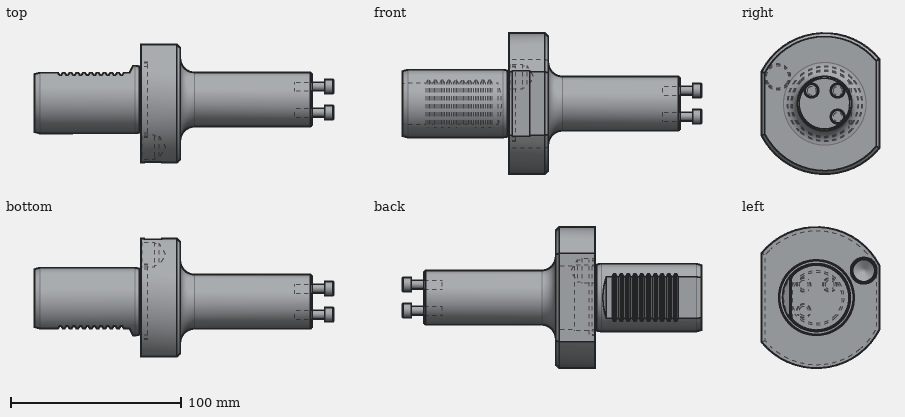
import cadquery as cq


shank_diameter = 40.0
shank_radius = shank_diameter / 2
shank_length = 62.6
shank_end_chamfer_length = 3.3
shank_end_chamfer_depth = 0.9
neck_start = 3.7
neck_length = 1.0
neck_drop = 0.5
neck_radius = shank_radius - neck_drop
round_length = neck_start - neck_length

flat_offset = 15.8
flat_end = 6.7
ramp_run = 2.1
tooth_gap_count = 10
tooth_gap_span = 35.9
tooth_gap_pitch = tooth_gap_span / (tooth_gap_count - 1)
tooth_gap_depth = 1.5
tooth_gap_top_width = 2.8
tooth_gap_floor_width = 0.9
last_tooth_gap_offset = 11.5

flange_radius = 41.5
flange_thickness = 23.2
flange_chamfer = 2.1
flange_front_flat = 37.1
flange_back_flat = 32.4

label_start = 2.1
label_width = 10.0
label_depth = 0.4

coolant_y = -27.8
coolant_z = 15.8
coolant_mouth_radius = 7.2
coolant_mouth_depth = 8.0
coolant_mouth_chamfer = 0.5
coolant_drill_radius = 6.5
coolant_drill_depth = 10.5
coolant_tip_depth = 3.9

seal_outer_radius = 21.6
seal_recess = 0.4
groove_outer_radius = 22.2
groove_depth = 3.7

bar_radius = 16.0
bar_end = 100.6
bar_end_chamfer = 1.0
bar_root_fillet = 8.3

screw_spacing = 15.3
screw_offset = screw_spacing / 2
screw_shaft_radius = 2.6
screw_depth = 10.5
screw_head_radius = 4.2
screw_head_start = 108.0
screw_head_end = 113.3
screw_head_chamfer = 0.5
screw_positions = [
    (screw_offset, screw_offset),
    (-screw_offset, screw_offset),
    (screw_offset, -screw_offset),
]


def cylinder_along_x(radius, start, end, y=0, z=0):
    return cq.Workplane("YZ", origin=(start, y, z)).circle(radius).extrude(end - start)


def flat_cutter():
    """Prism that leaves the flat on the +Y side of the shank, with its end ramp."""
    ramp_height = shank_radius - flat_offset
    overshoot = 2
    top = flat_offset + overshoot * ramp_height
    return (
        cq.Workplane("XY")
        .moveTo(-shank_length, flat_offset)
        .lineTo(-flat_end, flat_offset)
        .lineTo(-flat_end + overshoot * ramp_run, top)
        .lineTo(-shank_length, top)
        .close()
        .extrude(shank_radius, both=True)
    )


def tooth_gap_cutter(x):
    """Trapezoidal gap across the flat, centred at x."""
    return (
        cq.Workplane("XY")
        .moveTo(x - tooth_gap_top_width / 2, flat_offset)
        .lineTo(x - tooth_gap_floor_width / 2, flat_offset - tooth_gap_depth)
        .lineTo(x + tooth_gap_floor_width / 2, flat_offset - tooth_gap_depth)
        .lineTo(x + tooth_gap_top_width / 2, flat_offset)
        .close()
        .extrude(shank_radius, both=True)
    )


def make_shank():
    rounding_radius = (round_length**2 + neck_drop**2) / (2 * neck_drop)
    middle_x = -neck_start + round_length / 2
    middle_drop = rounding_radius - (rounding_radius**2 - (round_length / 2) ** 2) ** 0.5
    shank = (
        cq.Workplane("XY")
        .moveTo(-shank_length, 0)
        .lineTo(-shank_length, shank_radius)
        .lineTo(-neck_start, shank_radius)
        .threePointArc((middle_x, shank_radius - middle_drop), (-neck_length, neck_radius))
        .lineTo(groove_depth, neck_radius)
        .lineTo(groove_depth, 0)
        .close()
        .revolve(360, (0, 0, 0), (1, 0, 0))
        .cut(flat_cutter())
    )
    end_face = shank.faces("<X").val()
    shank = shank.newObject(
        [shank.val().chamfer(shank_end_chamfer_depth, shank_end_chamfer_length, end_face.Edges())]
    )
    for i in range(tooth_gap_count):
        shank = shank.cut(tooth_gap_cutter(-last_tooth_gap_offset - i * tooth_gap_pitch))
    return shank


def make_flange():
    width = flange_front_flat + flange_back_flat
    between_flats = cq.Workplane("XY").box(
        flange_thickness, width, 2 * flange_radius, centered=(False, False, True)
    ).translate((0, -flange_front_flat, 0))
    flange = cylinder_along_x(flange_radius, 0, flange_thickness).intersect(between_flats)
    flange = flange.faces(">X").chamfer(flange_chamfer)
    label_recess = cq.Workplane("XY").box(
        label_width, label_depth, 2 * flange_radius, centered=(False, False, True)
    ).translate((label_start, -flange_front_flat, 0))
    seal_groove = cylinder_along_x(groove_outer_radius, 0, groove_depth)
    return flange.cut(label_recess).cut(seal_groove).cut(coolant_hole_cutter())


def coolant_hole_cutter():
    """Solid of the blind stepped hole with a chamfered mouth and a conical tip."""
    return (
        cq.Workplane("XY")
        .lineTo(0, coolant_mouth_radius + coolant_mouth_chamfer)
        .lineTo(coolant_mouth_chamfer, coolant_mouth_radius)
        .lineTo(coolant_mouth_depth, coolant_mouth_radius)
        .lineTo(coolant_mouth_depth, coolant_drill_radius)
        .lineTo(coolant_drill_depth, coolant_drill_radius)
        .lineTo(coolant_drill_depth + coolant_tip_depth, 0)
        .close()
        .revolve(360, (0, 0, 0), (1, 0, 0))
        .translate((0, coolant_y, coolant_z))
    )


def make_bar():
    """Round bar with a concave fillet at the flange and a chamfered end."""
    root_radius = bar_radius + bar_root_fillet
    fillet_end = flange_thickness + bar_root_fillet
    return (
        cq.Workplane("XY")
        .moveTo(flange_thickness, 0)
        .lineTo(flange_thickness, root_radius)
        .radiusArc((fillet_end, bar_radius), -bar_root_fillet)
        .lineTo(bar_end - bar_end_chamfer, bar_radius)
        .lineTo(bar_end, bar_radius - bar_end_chamfer)
        .lineTo(bar_end, 0)
        .close()
        .revolve(360, (0, 0, 0), (1, 0, 0))
    )


def make_holder():
    holder = make_flange().union(make_shank()).union(make_bar())
    for y, z in screw_positions:
        holder = holder.cut(cylinder_along_x(screw_shaft_radius, bar_end - screw_depth, bar_end, y, z))
    return holder


def make_seal_ring():
    """Flat ring seated on the neck, on the floor of the groove and just below the flange face."""
    outside = cylinder_along_x(seal_outer_radius, seal_recess, groove_depth)
    return outside.cut(cylinder_along_x(neck_radius, seal_recess, groove_depth))


def make_screw(y, z):
    head = cylinder_along_x(screw_head_radius, screw_head_start, screw_head_end, y, z)
    head = head.faces(">X").chamfer(screw_head_chamfer)
    shaft = cylinder_along_x(screw_shaft_radius, bar_end - screw_depth, screw_head_start, y, z)
    return head.union(shaft)


holder = make_holder()
seal_ring = make_seal_ring()
screws = [make_screw(y, z).val() for y, z in screw_positions]

result = cq.Compound.makeCompound([holder.val(), seal_ring.val(), *screws])